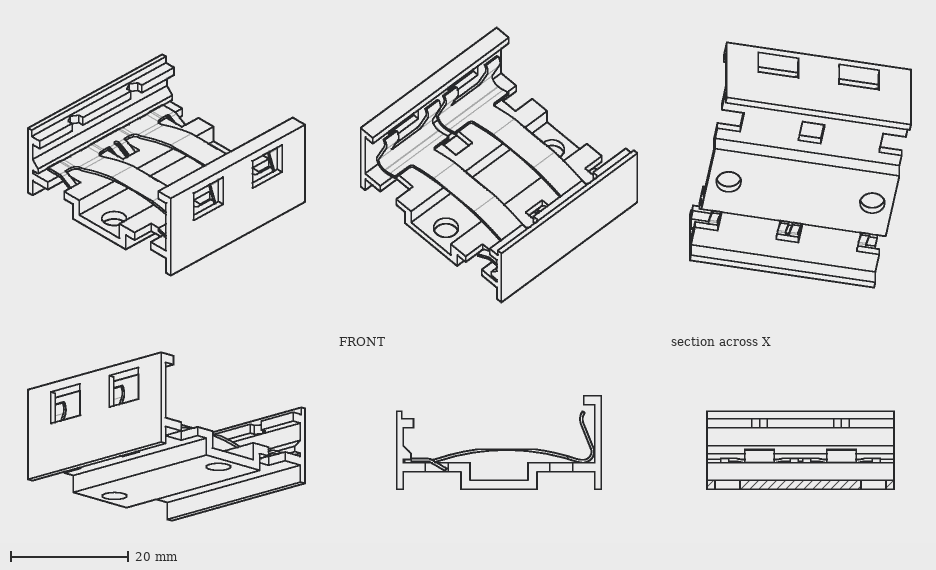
import cadquery as cq
import math

LENGTH_X = 35.02
LENGTH_Y = 32.0
HEIGHT = 16.0
HALF_X = LENGTH_X / 2
HALF_Y = LENGTH_Y / 2
WALL = 1.15
PLATE = 1.58
FLOOR_TOP = 4.6
FLOOR_BOTTOM = FLOOR_TOP - PLATE
CHANNEL_INNER = 9.85 / 2
CHANNEL_OUTER = CHANNEL_INNER + PLATE

LEFT_WALL_HEIGHT = 13.38
LEFT_RIM = 0.9
LEFT_LIP_TOP = 12.08
LEFT_LIP_REACH = 2.9
WEDGE_REACH = 2.5
WEDGE_BOTTOM = 5.15
WEDGE_SHOULDER = 6.13
WEDGE_TOP = WEDGE_SHOULDER + WEDGE_REACH - WALL
RIGHT_LIP_REACH = 3.05

PITCH = 14.0
STATIONS = (-PITCH / 2, PITCH / 2)
BRIDGE_HALF = 10.12 / 2
FLOOR_SLOT_INNER = 8.65
FLOOR_SLOT_OUTER = 12.6
WINDOW_WIDTH = 7.0
WINDOW_BOTTOM = 8.83
WINDOW_TOP = HEIGHT - PLATE
NOTCH_HALF = 1.3
NOTCH_SHOULDER = 1.93
HOLE_DIAMETER = 4.2
HOLE_Y = 12.45

SHEET = 0.5
MID_SHEET = FLOOR_TOP + SHEET / 2
CLIP_LEFT = -HALF_X + WEDGE_REACH
FLAP_RIGHT = -HALF_X + 5.3
FLAP_LIFT = 0.2
FLAP_HALF = 13.65
SEAT_HALF = 2.85
JOGGLE_HALF = 3.8
JOGGLE_RADIUS = 1.75
TONGUE_TIP = -HALF_X + 1.4
TONGUE_HALF = NOTCH_HALF

SPRING_HALF = 5.0 / 2
SHEET_FILLET = 0.65
BAR_LEFT = 11.73
BAR_HALF = 6.35
BEND_START = -11.75
BEND_RADIUS = 3.95
ARCH_SLOPE = 18.5
ARCH_RADIUS = 37.12
FOOT_LENGTH = 0.1
CURL_RADIUS = 1.6
LEAN_ANGLE = 22.0
FINGER_STRAIGHT = 4.5
TIP_RADIUS = 2.1
TIP_TURN = 58.0
FINGER_INNER = 3.45
FINGER_ROOT = 6.85
FINGER_TOP = 13.55
FINGER_CORNER = 0.42

PRONG_INNER = 5.22
PRONG_OUTER = FLAP_HALF - PITCH / 2
PRONG_ANGLE = 30.0
PRONG_RADIUS = 0.98
PRONG_LENGTH = 3.08
PRONG_CORNER = 0.28
FLAP_GAP_RADIUS = PITCH / 2 - PRONG_OUTER
FLAP_GAP_LEFT = -HALF_X + 4.87

EDGE_MARGIN = 0.35


def box(x0, x1, y0, y1, z0, z1):
    """Axis-aligned block between opposite corners."""
    return cq.Workplane("XY").box(x1 - x0, y1 - y0, z1 - z0, centered=False).translate((x0, y0, z0))


def extrude_along_y(profile, half_width):
    """Extrude an XZ profile evenly to both sides of Y = 0."""
    return profile.extrude(half_width, both=True)


def ribbon(x, z, steps, half_width):
    """Strip of constant thickness following straight (length, 0) and arc (radius, turn) steps.

    The path starts at (x, z) heading +X; positive turns bend it upwards.
    """
    heading = 0.0
    half = SHEET / 2

    def edge_point(px, pz, angle, side):
        return (px - side * half * math.sin(angle), pz + side * half * math.cos(angle))

    joints = [(x, z, heading)]
    middles = []
    for size, turn_degrees in steps:
        if turn_degrees == 0:
            x += size * math.cos(heading)
            z += size * math.sin(heading)
            middles.append(None)
        else:
            turn = math.radians(turn_degrees)
            signed_radius = math.copysign(size, turn)
            centre_x = x - signed_radius * math.sin(heading)
            centre_z = z + signed_radius * math.cos(heading)

            def on_arc(angle):
                return (
                    centre_x + signed_radius * math.sin(angle),
                    centre_z - signed_radius * math.cos(angle),
                    angle,
                )

            middles.append(on_arc(heading + turn / 2))
            heading += turn
            x, z, _ = on_arc(heading)
        joints.append((x, z, heading))

    outline = cq.Workplane("XZ").moveTo(*edge_point(*joints[0], 1))
    for middle, end in zip(middles, joints[1:]):
        if middle is None:
            outline = outline.lineTo(*edge_point(*end, 1))
        else:
            outline = outline.threePointArc(edge_point(*middle, 1), edge_point(*end, 1))
    outline = outline.lineTo(*edge_point(*joints[-1], -1))
    for middle, end in zip(reversed(middles), reversed(joints[:-1])):
        if middle is None:
            outline = outline.lineTo(*edge_point(*end, -1))
        else:
            outline = outline.threePointArc(edge_point(*middle, -1), edge_point(*end, -1))
    return extrude_along_y(outline.close(), half_width)


def rail_body():
    """Extruded section with two side walls, a floor and a sunken channel."""
    inner = HALF_X - WALL
    left = -HALF_X
    section = [
        (left, 0),
        (left, LEFT_WALL_HEIGHT),
        (left + LEFT_RIM, LEFT_WALL_HEIGHT),
        (left + LEFT_RIM, LEFT_LIP_TOP),
        (left + LEFT_LIP_REACH, LEFT_LIP_TOP),
        (left + LEFT_LIP_REACH, LEFT_LIP_TOP - PLATE),
        (-inner, LEFT_LIP_TOP - PLATE),
        (-inner, WEDGE_TOP),
        (left + WEDGE_REACH, WEDGE_SHOULDER),
        (left + WEDGE_REACH, WEDGE_BOTTOM),
        (-inner, WEDGE_BOTTOM),
        (-inner, FLOOR_TOP),
        (-CHANNEL_INNER, FLOOR_TOP),
        (-CHANNEL_INNER, PLATE),
        (CHANNEL_INNER, PLATE),
        (CHANNEL_INNER, FLOOR_TOP),
        (inner, FLOOR_TOP),
        (inner, HEIGHT - PLATE),
        (HALF_X - RIGHT_LIP_REACH, HEIGHT - PLATE),
        (HALF_X - RIGHT_LIP_REACH, HEIGHT),
        (HALF_X, HEIGHT),
        (HALF_X, 0),
        (inner, 0),
        (inner, FLOOR_BOTTOM),
        (CHANNEL_OUTER, FLOOR_BOTTOM),
        (CHANNEL_OUTER, 0),
        (-CHANNEL_OUTER, 0),
        (-CHANNEL_OUTER, FLOOR_BOTTOM),
        (-inner, FLOOR_BOTTOM),
        (-inner, 0),
    ]
    return extrude_along_y(cq.Workplane("XZ").polyline(section).close(), HALF_Y)


def floor_slots():
    """Slots beside the channel everywhere except at the clip stations."""
    slots = cq.Workplane("XY")
    for x0, x1 in ((-FLOOR_SLOT_OUTER, -FLOOR_SLOT_INNER), (FLOOR_SLOT_INNER, FLOOR_SLOT_OUTER)):
        strip = box(x0, x1, -HALF_Y, HALF_Y, FLOOR_BOTTOM, FLOOR_TOP)
        for y in STATIONS:
            strip = strip.cut(box(x0, x1, y - BRIDGE_HALF, y + BRIDGE_HALF, FLOOR_BOTTOM, FLOOR_TOP))
        slots = slots.add(strip)
    return slots.combine()


def wall_window(y):
    """Opening through the right wall, just below its lip."""
    half = WINDOW_WIDTH / 2
    return box(HALF_X - WALL, HALF_X, y - half, y + half, WINDOW_BOTTOM, WINDOW_TOP)


def lip_notch(y):
    """Pointed notch through the left lip, ending on the wall face."""
    edge = -HALF_X + LEFT_LIP_REACH
    shoulder = -HALF_X + NOTCH_SHOULDER
    outline = [
        (edge, y - NOTCH_HALF),
        (edge, y + NOTCH_HALF),
        (shoulder, y + NOTCH_HALF),
        (-HALF_X + WALL, y),
        (shoulder, y - NOTCH_HALF),
    ]
    plane = cq.Workplane("XY").workplane(offset=LEFT_LIP_TOP - PLATE)
    return plane.polyline(outline).close().extrude(PLATE)


def screw_holes():
    """Two holes through the channel floor."""
    centres = [(0, -HOLE_Y), (0, HOLE_Y)]
    return cq.Workplane("XY").pushPoints(centres).circle(HOLE_DIAMETER / 2).extrude(PLATE)


def spring_strip():
    """Symmetric arch between two foot bends, then a curl up into the fingers, centred on Y = 0."""
    steps = [
        (BEND_RADIUS, ARCH_SLOPE),
        (ARCH_RADIUS, -2 * ARCH_SLOPE),
        (BEND_RADIUS, ARCH_SLOPE),
        (FOOT_LENGTH, 0),
        (CURL_RADIUS, 90 + LEAN_ANGLE),
        (FINGER_STRAIGHT, 0),
        (TIP_RADIUS, -TIP_TURN),
    ]
    return ribbon(BEND_START, MID_SHEET, steps, BAR_HALF)


def finger_mask():
    """Outline along X: a cross bar carrying two round-cornered fingers."""
    mask = box(-HALF_X, HALF_X, -BAR_HALF, BAR_HALF, 0, FINGER_TOP)
    mask = mask.edges("|X and >Z").fillet(FINGER_CORNER)
    gap = box(-HALF_X, HALF_X, -FINGER_INNER, FINGER_INNER, FINGER_ROOT, HEIGHT)
    mask = mask.cut(gap.edges("|X and <Z").fillet(FINGER_CORNER))
    inner_corners = cq.selectors.BoxSelector(
        (-LENGTH_X, -FINGER_INNER - FINGER_CORNER, FINGER_TOP - FINGER_CORNER),
        (LENGTH_X, FINGER_INNER + FINGER_CORNER, HEIGHT),
    )
    return mask.edges("|X").edges(inner_corners).fillet(FINGER_CORNER)


def joggled_sheet():
    """Low seat in the middle, rising on both sides to the flaps."""
    low = FLOOR_TOP
    high = FLOOR_TOP + FLAP_LIFT
    reach = PITCH / 2
    lower_edge = [
        (-reach, high),
        (-JOGGLE_HALF, high),
        (-SEAT_HALF, low),
        (SEAT_HALF, low),
        (JOGGLE_HALF, high),
        (reach, high),
    ]
    upper_edge = [(y, z + SHEET) for y, z in reversed(lower_edge)]
    plane = cq.Workplane("YZ").workplane(offset=CLIP_LEFT)
    sheet = plane.polyline(lower_edge + upper_edge).close().extrude(BEND_START - CLIP_LEFT)
    for side in (-1, 1):
        bend = cq.selectors.BoxSelector(
            (-HALF_X, side * JOGGLE_HALF - EDGE_MARGIN, 0),
            (HALF_X, side * JOGGLE_HALF + EDGE_MARGIN, HEIGHT),
        )
        sheet = sheet.edges("|X").edges(bend).fillet(JOGGLE_RADIUS)
    return sheet


def clip_plan():
    """Plan outline of one clip with filleted inside corners."""
    top = FINGER_TOP + SHEET
    plan = (
        box(CLIP_LEFT, FLAP_RIGHT, -PITCH / 2, PITCH / 2, 0, top)
        .union(box(FLAP_RIGHT, BAR_LEFT, -SPRING_HALF, SPRING_HALF, 0, top))
        .union(box(BAR_LEFT, HALF_X, -BAR_HALF, BAR_HALF, 0, top))
    )
    inside_corners = cq.selectors.BoxSelector(
        (FLAP_RIGHT - EDGE_MARGIN, -SPRING_HALF - EDGE_MARGIN, 0),
        (BAR_LEFT + EDGE_MARGIN, SPRING_HALF + EDGE_MARGIN, top),
    )
    return plan.edges("|Z").edges(inside_corners).fillet(SHEET_FILLET)


def tongue():
    """Pointed tongue that slides under the wedge."""
    outline = [(CLIP_LEFT, -TONGUE_HALF), (CLIP_LEFT, TONGUE_HALF), (TONGUE_TIP, 0)]
    return cq.Workplane("XY").workplane(offset=FLOOR_TOP).polyline(outline).close().extrude(SHEET)


def prong(side):
    """Prong sloping down from a flap, on the +Y (1) or -Y (-1) side of a clip."""
    half = (PRONG_OUTER - PRONG_INNER) / 2
    slope = math.radians(PRONG_ANGLE)
    bend_reach = (PRONG_RADIUS + SHEET / 2) * math.sin(slope)
    tip = FLAP_RIGHT + bend_reach + PRONG_LENGTH * math.cos(slope)
    steps = [(PRONG_RADIUS, -PRONG_ANGLE), (PRONG_LENGTH, 0)]
    strip = ribbon(FLAP_RIGHT, MID_SHEET + FLAP_LIFT, steps, half)
    inner_corner = "|Z and >X and <Y" if side > 0 else "|Z and >X and >Y"
    plan = box(FLAP_RIGHT, tip, -half, half, 0, HEIGHT).edges(inner_corner).fillet(PRONG_CORNER)
    return strip.intersect(plan).translate((0, side * (PRONG_INNER + half), 0))


def clip():
    """One complete clip centred on Y = 0."""
    sheet = joggled_sheet().union(spring_strip().intersect(finger_mask())).intersect(clip_plan())
    return sheet.union(tongue()).union(prong(1)).union(prong(-1))


def flap_gap():
    """Round-ended gap between the prongs of neighbouring clips."""
    nose_x = FLAP_GAP_LEFT + FLAP_GAP_RADIUS
    depth = FLAP_LIFT + SHEET
    plane = cq.Workplane("XY").workplane(offset=FLOOR_TOP)
    nose = plane.center(nose_x, 0).circle(FLAP_GAP_RADIUS).extrude(depth)
    return nose.union(
        box(nose_x, FLAP_RIGHT, -FLAP_GAP_RADIUS, FLAP_GAP_RADIUS, FLOOR_TOP, FLOOR_TOP + depth)
    )


body = rail_body().cut(floor_slots()).cut(screw_holes())
for station in STATIONS:
    body = body.cut(wall_window(station)).cut(lip_notch(station))

one_clip = clip()
clips = one_clip.translate((0, STATIONS[0], 0)).union(one_clip.translate((0, STATIONS[1], 0)))
clips = clips.intersect(box(-HALF_X, HALF_X, -FLAP_HALF, FLAP_HALF, 0, HEIGHT)).cut(flap_gap())

result = body.union(clips)